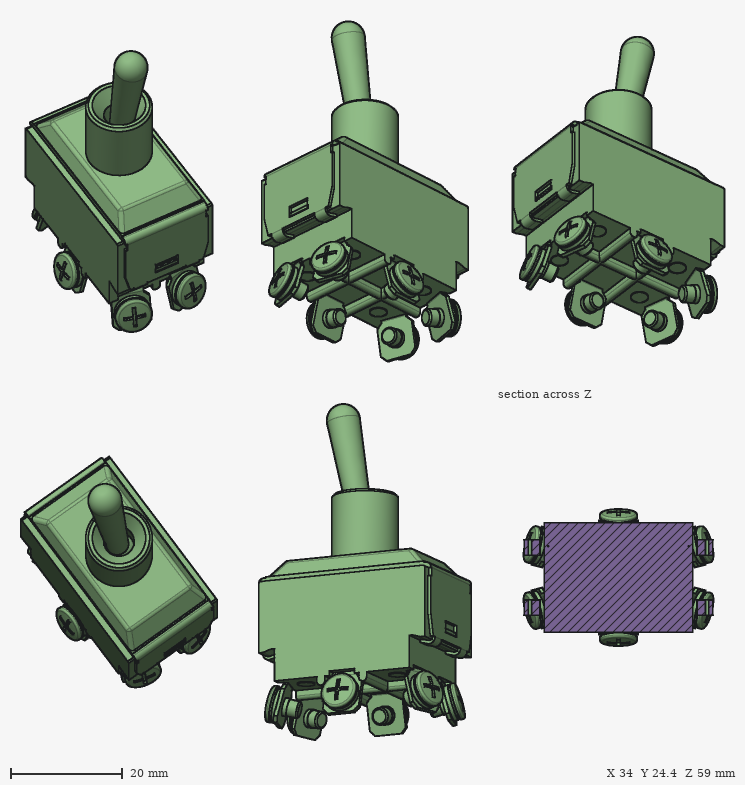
import cadquery as cq
import math


housing_length = 32.8
housing_width = 19.6
housing_top = 18.45
end_bevel_run = 0.35
end_bevel_drop = 0.2
lower_length = 26.6
shoulder_z = 5.9
shoulder_outer_z = 5.4
shoulder_slope_start = 14.0
shoulder_slope_end = 15.5

root_depth = 2.95
rib_width = 1.55
rib_height = 1.6
rib_round = 0.65
cross_rib_x = 4.1

rivet_diameter = 3.1
rivet_height = 0.2
rivet_x = 9.0
rivet_y = 5.55

bracket_length = 34.05
bracket_width = 17.05
bracket_top = 19.35
sheet = 0.6
flange_top = housing_top - end_bevel_drop
bracket_bend = bracket_top - flange_top
neck_width = 16.2
neck_bottom = 16.75
taper_start_z = 9.7
flange_bottom = 5.9
flange_bottom_width = 15.1
window_width = 4.6
window_bottom = 7.6
window_top = 9.7
latch_top = 8.4
latch_reach = 0.4

hook_width = 2.8
hook_y = 5.35
hook_outer_radius = 1.2
hook_rise_angle = 14
hook_straight = 1.65
hook_tip_round = 0.25

skirt_size = (31.25, 17.05)
skirt_height = 0.2
cap_top = 22.55
cap_base_size = (30.55, 16.95)
cap_top_size = (24.8, 14.05)
cap_round = 0.9

bushing_diameter = 11.9
bushing_top = 34.7
bushing_chamfer = 0.5
funnel_diameter = 9.55
funnel_depth = 2.6
bore_diameter = 5.4

pivot_z = 25.8
pivot_ball_diameter = 6.55
lever_angle = 10.5
lever_neck_diameter = 4.0
lever_neck_start = 2.35
lever_tip_diameter = 6.0
lever_top = 51.75
lever_length = (lever_top - pivot_z - lever_tip_diameter / 2) / math.cos(math.radians(lever_angle))

terminal_tilt = 15
terminal_yaw = 15
terminal_z = -3.65
end_terminal_x = 14.05
end_terminal_y = 5.55
side_terminal_y = 9.55
plate_size = 7.1
plate_corner = 1.0
plate_thickness = 0.7
collar_diameter = 3.35
collar_height = 0.8
tab_width = 5.0
tab_root = 2.35
tab_bend_y = 3.9
tab_bend_angle = 15
tab_tip_length = 0.8
slot_embed = 0.35
slot_reach = 3.55

washer_diameter = 6.55
washer_thickness = 0.75
lock_washer_diameter = 6.15
lock_washer_thickness = 0.4
head_diameter = 6.7
head_side = 0.4
head_shoulder = 0.4
dome_diameter = 5.9
dome_rise = 0.265
cross_length = 4.0
cross_width = 0.6
cross_depth = 0.65
shank_diameter = 3.1
shank_length = 2.9
shank_chamfer = 0.3


def block(x_size, y_size, z_bottom, z_top):
    """Box centred on X and Y between two heights."""
    return (
        cq.Workplane("XY")
        .workplane(offset=z_bottom)
        .rect(x_size, y_size)
        .extrude(z_top - z_bottom)
    )


def both_ends(solid):
    """The solid together with its mirror image across the YZ plane."""
    return solid.union(solid.mirror("YZ"))


def make_housing():
    """Stepped block with sloping shoulders and bevelled upper end edges."""
    half_lower = lower_length / 2
    half_upper = housing_length / 2
    half_outline = [
        (0, 0),
        (half_lower, 0),
        (half_lower, shoulder_z),
        (shoulder_slope_start, shoulder_z),
        (shoulder_slope_end, shoulder_outer_z),
        (half_upper, shoulder_outer_z),
        (half_upper, housing_top - end_bevel_drop),
        (half_upper - end_bevel_run, housing_top),
        (0, housing_top),
    ]
    half = cq.Workplane("XZ").polyline(half_outline).close().extrude(housing_width / 2, both=True)
    return both_ends(half)


def make_ribs():
    """One rib along X and two across it, rounded along their lower edges."""
    ribs = block(lower_length, rib_width, -rib_height, root_depth).edges("|X and <Z").fillet(rib_round)
    for x in (-cross_rib_x, cross_rib_x):
        cross_rib = block(rib_width, housing_width, -rib_height, root_depth)
        ribs = ribs.union(cross_rib.edges("|Y and <Z").fillet(rib_round).translate((x, 0, 0)))
    return ribs


def make_rivets():
    return (
        cq.Workplane("XY")
        .workplane(offset=-rivet_height)
        .rect(2 * rivet_x, 2 * rivet_y, forConstruction=True)
        .vertices()
        .circle(rivet_diameter / 2)
        .extrude(rivet_height + root_depth)
    )


def make_hooks():
    """Two hooks curling inwards from the foot of the +X flange."""
    bend_x = bracket_length / 2 - hook_outer_radius
    inner_radius = hook_outer_radius - sheet
    rise = math.radians(hook_rise_angle)

    def on_bend(radius, angle):
        return bend_x + radius * math.cos(angle), flange_bottom + radius * math.sin(angle)

    bend_end = -math.pi / 2 - rise
    tip_x = -hook_straight * math.cos(rise)
    tip_z = hook_straight * math.sin(rise)
    outer_end = on_bend(hook_outer_radius, bend_end)
    inner_end = on_bend(inner_radius, bend_end)
    hook = (
        cq.Workplane("XZ")
        .moveTo(*on_bend(hook_outer_radius, 0))
        .threePointArc(on_bend(hook_outer_radius, bend_end / 2), outer_end)
        .lineTo(outer_end[0] + tip_x, outer_end[1] + tip_z)
        .lineTo(inner_end[0] + tip_x, inner_end[1] + tip_z)
        .lineTo(*inner_end)
        .threePointArc(on_bend(inner_radius, bend_end / 2), on_bend(inner_radius, 0))
        .close()
        .extrude(hook_width / 2, both=True)
        .edges("|Y and <X")
        .fillet(hook_tip_round)
    )
    return hook.translate((0, hook_y, 0)).union(hook.translate((0, -hook_y, 0)))


def make_flange():
    """Tapered +X flange with a latch window, and the latch block inside it."""
    half_outline = [
        (0, flange_top),
        (neck_width / 2, flange_top),
        (neck_width / 2, neck_bottom),
        (bracket_width / 2, neck_bottom),
        (bracket_width / 2, taper_start_z),
        (flange_bottom_width / 2, flange_bottom),
        (0, flange_bottom),
    ]
    inner_face = bracket_length / 2 - sheet
    half = cq.Workplane("YZ").workplane(offset=inner_face).polyline(half_outline).close().extrude(sheet)
    flange = half.union(half.mirror("XZ"))
    window = block(2 * sheet, window_width, window_bottom, window_top)
    flange = flange.cut(window.translate((inner_face + sheet, 0, 0)))
    latch = block(2 * latch_reach, window_width, window_bottom, latch_top)
    latch = latch.translate((inner_face, 0, 0))
    return flange.union(latch)


def make_bracket_top():
    """+X half of the top plate, rounded over towards the flange."""
    bend_start = bracket_length / 2 - bracket_bend
    diagonal = bracket_bend * math.sqrt(0.5)
    return (
        cq.Workplane("XZ")
        .moveTo(0, flange_top)
        .lineTo(0, bracket_top)
        .lineTo(bend_start, bracket_top)
        .threePointArc((bend_start + diagonal, flange_top + diagonal), (bracket_length / 2, flange_top))
        .close()
        .extrude(bracket_width / 2, both=True)
    )


def make_bracket():
    return both_ends(make_bracket_top().union(make_flange()).union(make_hooks()))


def make_cap():
    """Truncated pyramid with rounded edges on a thin skirt."""
    skirt_top = bracket_top + skirt_height
    pyramid = (
        cq.Workplane("XY")
        .workplane(offset=skirt_top)
        .rect(*cap_base_size)
        .workplane(offset=cap_top - skirt_top)
        .rect(*cap_top_size)
        .loft(ruled=True)
        .edges("not <Z")
        .fillet(cap_round)
    )
    return pyramid.union(block(*skirt_size, bracket_top, skirt_top))


def make_bushing():
    return (
        cq.Workplane("XY")
        .workplane(offset=bracket_top)
        .circle(bushing_diameter / 2)
        .extrude(bushing_top - bracket_top)
        .faces(">Z")
        .edges()
        .chamfer(bushing_chamfer)
    )


def make_bushing_bore():
    """Conical funnel leading into a straight bore down to the pivot."""
    outline = [
        (0, bushing_top),
        (funnel_diameter / 2, bushing_top),
        (bore_diameter / 2, bushing_top - funnel_depth),
        (bore_diameter / 2, pivot_z),
        (0, pivot_z),
    ]
    return cq.Workplane("XZ").polyline(outline).close().revolve(360, (0, 0), (0, 1))


def make_lever():
    """Tapered, round-ended lever leaning towards +X from its pivot ball."""
    tip_radius = lever_tip_diameter / 2
    stick = (
        cq.Workplane("XZ")
        .moveTo(0, lever_neck_start)
        .lineTo(lever_neck_diameter / 2, lever_neck_start)
        .lineTo(tip_radius, lever_length)
        .threePointArc(
            (tip_radius * math.sin(math.pi / 4), lever_length + tip_radius * math.cos(math.pi / 4)),
            (0, lever_length + tip_radius),
        )
        .close()
        .revolve(360, (0, 0), (0, 1))
    )
    ball = cq.Workplane("XY").sphere(pivot_ball_diameter / 2)
    lever = ball.union(stick).rotate((0, 0, 0), (0, 1, 0), lever_angle)
    return lever.translate((0, 0, pivot_z))



tab_bend = math.radians(tab_bend_angle)
tab_tip_y = tab_bend_y + tab_tip_length * math.cos(tab_bend)
tab_tip_z = -tab_tip_length * math.sin(tab_bend)


def tab_profile(points):
    """Solid of the width of the tab from (y, z) outline points."""
    return cq.Workplane("YZ").polyline(points).close().extrude(tab_width / 2, both=True)


def make_terminal_plate():
    """Square plate with cut corners, a tab on top and a screw collar behind."""
    plate = (
        cq.Workplane("XY")
        .rect(plate_size, plate_size)
        .extrude(-plate_thickness)
        .edges("|Z")
        .chamfer(plate_corner)
    )
    collar = (
        cq.Workplane("XY")
        .workplane(offset=-plate_thickness)
        .circle(collar_diameter / 2)
        .extrude(-collar_height)
    )
    tab = tab_profile([
        (tab_root, 0),
        (tab_bend_y, 0),
        (tab_tip_y, tab_tip_z),
        (tab_tip_y - plate_thickness * math.sin(tab_bend), tab_tip_z - plate_thickness * math.cos(tab_bend)),
        (tab_bend_y - plate_thickness * math.tan(tab_bend / 2), -plate_thickness),
        (tab_root, -plate_thickness),
    ])
    return plate.union(tab).union(collar)


def make_tab_slot():
    """Recess in the housing wall, with a level ceiling, that leaves the face of the tab exposed."""
    tilt = math.radians(terminal_tilt)
    return tab_profile([
        (tab_root, -slot_embed),
        (tab_bend_y, -slot_embed),
        (tab_tip_y, tab_tip_z - slot_embed),
        (tab_tip_y, tab_tip_z),
        (tab_tip_y - slot_reach * math.sin(tilt), tab_tip_z + slot_reach * math.cos(tilt)),
        (tab_root, slot_reach),
    ])


def make_screw():
    """Cross-slotted screw with a flat washer and a lock washer under its domed head."""
    head_bottom = washer_thickness + lock_washer_thickness
    shoulder = head_bottom + head_side
    rim = shoulder + head_shoulder
    dome_top = rim + dome_rise
    dome_radius = dome_diameter / 2
    sphere_radius = (dome_radius**2 + dome_rise**2) / (2 * dome_rise)
    mid_radius = dome_radius / 2
    mid_height = dome_top - sphere_radius + math.sqrt(sphere_radius**2 - mid_radius**2)
    shank_end = -plate_thickness - shank_length
    screw = (
        cq.Workplane("XZ")
        .moveTo(0, shank_end)
        .lineTo(shank_diameter / 2 - shank_chamfer, shank_end)
        .lineTo(shank_diameter / 2, shank_end + shank_chamfer)
        .lineTo(shank_diameter / 2, 0)
        .lineTo(washer_diameter / 2, 0)
        .lineTo(washer_diameter / 2, washer_thickness)
        .lineTo(lock_washer_diameter / 2, washer_thickness)
        .lineTo(lock_washer_diameter / 2, head_bottom)
        .lineTo(head_diameter / 2, head_bottom)
        .lineTo(head_diameter / 2, shoulder)
        .tangentArcPoint((dome_radius, rim), relative=False)
        .threePointArc((mid_radius, mid_height), (0, dome_top))
        .close()
        .revolve(360, (0, 0), (0, 1))
    )
    for x_size, y_size in ((cross_length, cross_width), (cross_width, cross_length)):
        screw = screw.cut(block(x_size, y_size, dome_top - cross_depth, dome_top))
    return screw


def terminal_location(x, y, azimuth):
    """Frame facing outwards along the azimuth and tilted upwards."""
    facing = math.radians(azimuth)
    tilt = math.radians(terminal_tilt)
    normal = (
        math.cos(tilt) * math.cos(facing),
        math.cos(tilt) * math.sin(facing),
        math.sin(tilt),
    )
    sideways = (-math.sin(facing), math.cos(facing), 0)
    return cq.Location(cq.Plane((x, y, terminal_z), sideways, normal))


terminal_locations = [
    terminal_location(end_terminal_x, end_terminal_y, terminal_yaw),
    terminal_location(end_terminal_x, -end_terminal_y, -terminal_yaw),
    terminal_location(-end_terminal_x, end_terminal_y, 180 - terminal_yaw),
    terminal_location(-end_terminal_x, -end_terminal_y, 180 + terminal_yaw),
    terminal_location(0, side_terminal_y, 90),
    terminal_location(0, -side_terminal_y, -90),
]

result = make_housing().union(make_ribs()).union(make_rivets()).union(make_bracket())
result = result.union(make_cap()).union(make_bushing())
result = result.cut(make_bushing_bore()).union(make_lever())

tab_slot = make_tab_slot().val()
terminal = make_terminal_plate().union(make_screw()).val()
for location in terminal_locations:
    result = result.cut(cq.Workplane(tab_slot.moved(location)))
    result = result.union(cq.Workplane(terminal.moved(location)))